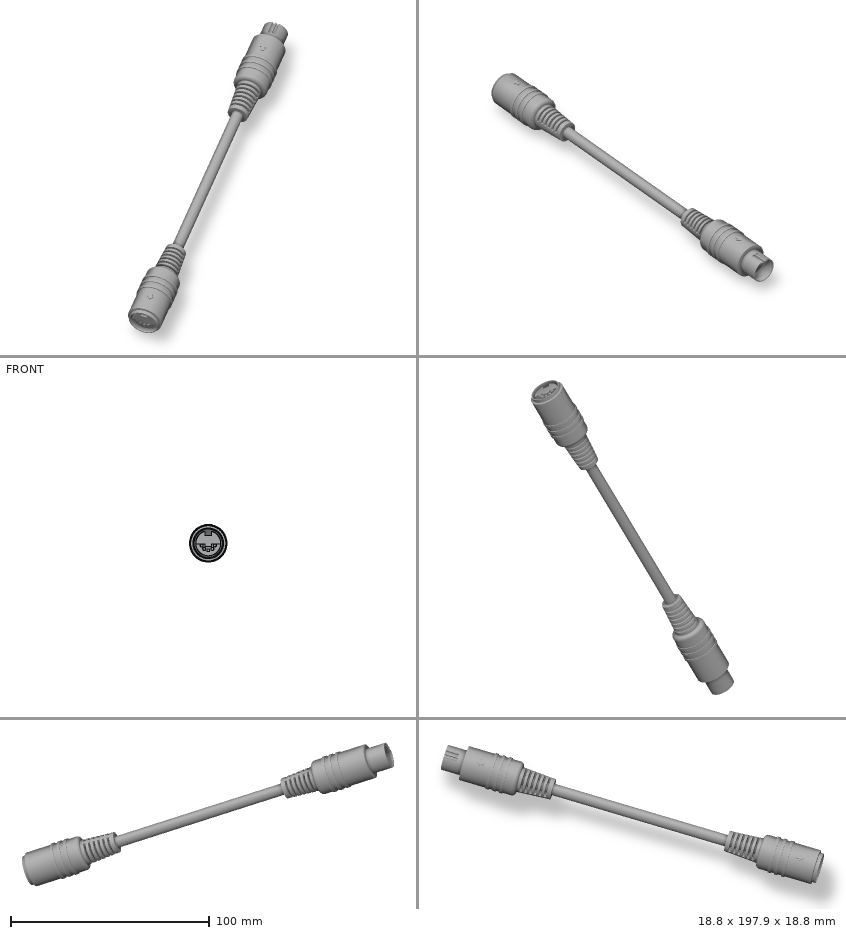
import cadquery as cq
import math

total_length = 197.87
plug_tip = total_length / 2
socket_tip = -total_length / 2

grip_radius = 8.9
grip_length = 29.4
grip_rear_fillet = 1.8
grip_front_taper_length = 1.0
grip_front_taper_depth = 0.15

ring_radius = 9.4
ring_width = 1.5
ring_middles = (7.25, 10.75, 14.5)

relief_length = 17.6
relief_large_radius = 6.5
relief_small_radius = 5.3
slot_count = 6
slot_pitch = 2.5
slot_width = 1.2
first_slot = 2.3
spine_thickness = 1.8

arrow_start = 18.8
arrow_length = 4.0
arrow_head_length = 2.0
arrow_head_width = 3.5
arrow_stem_width = 1.7

cable_radius = 2.95
cable_insertion = 5.0

plug_radius = 6.5
plug_length = 10.2
shell_length = 6.9
shell_wall = 0.5
groove_top_width = 4.2
groove_floor_width = 3.0
groove_depth = 1.0
groove_rib_width = 0.6

nose_length = 1.85
nose_radius = 7.7
cavity_radius = 7.2
cavity_depth = 8.0
insert_radius = 6.3
insert_recess = 1.0
step_depth = 1.0
step_height = -0.3
tongue_width = 3.5
tongue_bottom = -1.5
keyway_width = 3.5
keyway_floor = 3.9

contact_count = 5
contact_spacing_angle = 36
contact_circle_radius = 3.5
contact_radius = 0.75
contact_projection = 0.8

plug_grip_rear = plug_tip - plug_length - grip_length
socket_grip_rear = socket_tip + nose_length + grip_length
shell_start = plug_tip - shell_length
cavity_floor = socket_tip + cavity_depth
insert_face = socket_tip + insert_recess
step_face = insert_face + step_depth


def rod(radius, start, end, x=0, z=0):
    """Cylinder along Y from Y = start to Y = end."""
    return cq.Workplane("XZ", origin=(x, end, z)).circle(radius).extrude(end - start)


def block(width, start, end, bottom, top):
    """Box centred on X = 0."""
    size = (width, end - start, top - bottom)
    return cq.Workplane("XY").box(*size).translate((0, (start + end) / 2, (bottom + top) / 2))


def ring(middle):
    """Flat-topped ring around the grip."""
    return rod(ring_radius, middle - ring_width / 2, middle + ring_width / 2)


def arrow():
    """Raised arrow reaching as high as the rings."""
    tip = arrow_start + arrow_length
    neck = tip - arrow_head_length
    right_side = [
        (arrow_stem_width / 2, arrow_start),
        (arrow_stem_width / 2, neck),
        (arrow_head_width / 2, neck),
    ]
    left_side = [(-x, y) for x, y in reversed(right_side)]
    outline = right_side + [(0, tip)] + left_side
    return cq.Workplane("XY").polyline(outline).close().extrude(ring_radius)


def strain_relief():
    """Tapered sleeve cut by cross slots down to the cable, leaving a spine on each side."""
    relief = (
        cq.Workplane("XZ")
        .circle(relief_large_radius)
        .workplane(offset=relief_length)
        .circle(relief_small_radius)
        .loft()
    )
    for index in range(slot_count):
        middle = -first_slot - index * slot_pitch
        span = (2 * relief_large_radius, middle - slot_width / 2, middle + slot_width / 2)
        relief = relief.cut(block(*span, spine_thickness / 2, relief_large_radius))
        relief = relief.cut(block(*span, -relief_large_radius, -spine_thickness / 2))
    return relief


def grip_with_relief():
    """Grip with its rear face at Y = 0 and its mating end towards +Y, bored for the cable."""
    grip = rod(grip_radius, 0, grip_length).faces("<Y").edges().fillet(grip_rear_fillet)
    grip = grip.faces(">Y").chamfer(grip_front_taper_depth, grip_front_taper_length)
    for middle in ring_middles:
        grip = grip.union(ring(middle))
    grip = grip.union(arrow()).union(strain_relief())
    return grip.cut(rod(cable_radius, -relief_length, cable_insertion))


def plug_mould():
    """Grip of the plug with the neck that carries the shell."""
    neck = rod(plug_radius, plug_tip - plug_length, shell_start)
    return grip_with_relief().translate((0, plug_grip_rear, 0)).union(neck)


def plug_shell():
    """Thin tube with a ribbed key groove pressed into its top."""
    outside = rod(plug_radius, shell_start, plug_tip)
    tube = outside.cut(rod(plug_radius - shell_wall, shell_start, plug_tip))
    groove_floor = plug_radius - groove_depth
    groove = (
        cq.Workplane("XZ", origin=(0, plug_tip, 0))
        .polyline(
            [
                (-groove_floor_width / 2, groove_floor),
                (groove_floor_width / 2, groove_floor),
                (groove_top_width / 2, plug_radius),
                (-groove_top_width / 2, plug_radius),
            ]
        )
        .close()
        .extrude(shell_length)
    )
    backing_width = groove_top_width + 2 * shell_wall
    backing = block(backing_width, shell_start, plug_tip, groove_floor - shell_wall, plug_radius)
    rib = block(groove_rib_width, shell_start, plug_tip, groove_floor, plug_radius)
    return tube.union(backing.intersect(outside)).cut(groove).union(rib.intersect(outside))


def socket_insert():
    """Round insert with a keyway on top and a lower part set back below a short tongue."""
    insert = rod(insert_radius, insert_face, cavity_floor)
    recess = block(2 * insert_radius, insert_face, step_face, -insert_radius, step_height)
    tongue = block(tongue_width, insert_face, step_face, tongue_bottom, step_height)
    keyway = block(keyway_width, insert_face, cavity_floor, keyway_floor, insert_radius)
    return insert.cut(recess.cut(tongue)).cut(keyway)


def socket_contact(index):
    """One contact pin; the contacts lie on an arc round the insert's axis, in its lower half."""
    angle = math.radians(-90 + (index - (contact_count - 1) / 2) * contact_spacing_angle)
    x = contact_circle_radius * math.cos(angle)
    z = contact_circle_radius * math.sin(angle)
    return rod(contact_radius, step_face - contact_projection, cavity_floor, x, z)


def socket_mould():
    """Grip of the socket with its nose, cavity and insert, bored for the contacts."""
    grip = grip_with_relief().rotate((0, 0, 0), (0, 0, 1), 180).translate((0, socket_grip_rear, 0))
    mould = grip.union(rod(nose_radius, socket_tip, socket_tip + nose_length))
    mould = mould.cut(rod(cavity_radius, socket_tip, cavity_floor)).union(socket_insert())
    for contact in contacts:
        mould = mould.cut(contact)
    return mould


cable = rod(cable_radius, socket_grip_rear - cable_insertion, plug_grip_rear + cable_insertion)
contacts = [socket_contact(index) for index in range(contact_count)]

result = cq.Compound.makeCompound(
    [
        cable.val(),
        plug_mould().val(),
        plug_shell().val(),
        socket_mould().val(),
        *[contact.val() for contact in contacts],
    ]
)